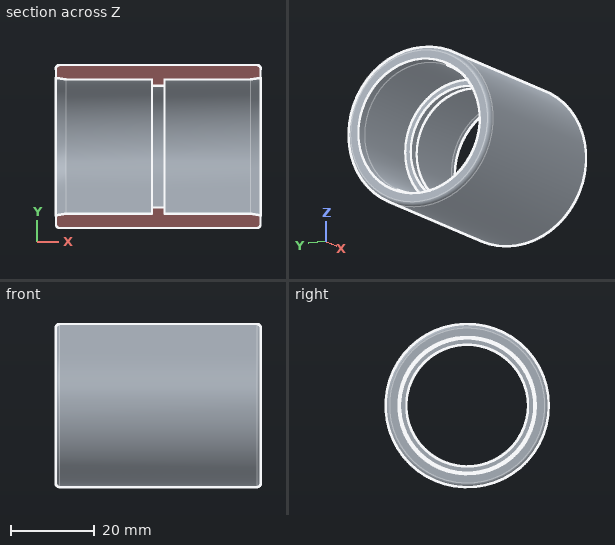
import cadquery as cq

LENGTH = 49.0
OUTER_DIAMETER = 39.0
SOCKET_DIAMETER = 32.0
STOP_BORE_DIAMETER = 29.0
STOP_WIDTH = 3.0
RIM_FILLET = 1.0

MOUTH_DIAMETER = 32.8
MOUTH_DEPTH = 2.5

HALF_LENGTH = LENGTH / 2
SOCKET_DEPTH = (LENGTH - STOP_WIDTH) / 2


def make_full_length_cylinder(diameter):
    """Cylinder along X over the whole length, centred on the origin."""
    end_plane = cq.Workplane("YZ", origin=(-HALF_LENGTH, 0, 0))
    return end_plane.circle(diameter / 2).extrude(LENGTH)


def make_body():
    """Outer cylinder with both rims rounded."""
    body = make_full_length_cylinder(OUTER_DIAMETER)
    return body.faces("<X or >X").edges().fillet(RIM_FILLET)


def make_socket():
    """Solid of revolution that cuts the flared socket at the -X end."""
    end_x = -HALF_LENGTH
    mouth_end_x = end_x + MOUTH_DEPTH
    stop_x = end_x + SOCKET_DEPTH
    profile = (
        cq.Workplane("XY")
        .moveTo(end_x, 0)
        .lineTo(end_x, MOUTH_DIAMETER / 2)
        .lineTo(mouth_end_x, SOCKET_DIAMETER / 2)
        .lineTo(stop_x, SOCKET_DIAMETER / 2)
        .lineTo(stop_x, 0)
        .close()
    )
    return profile.revolve(360, (0, 0, 0), (1, 0, 0))


stop_bore = make_full_length_cylinder(STOP_BORE_DIAMETER)
socket = make_socket()
opposite_socket = socket.mirror("YZ")
result = make_body().cut(stop_bore).cut(socket).cut(opposite_socket)